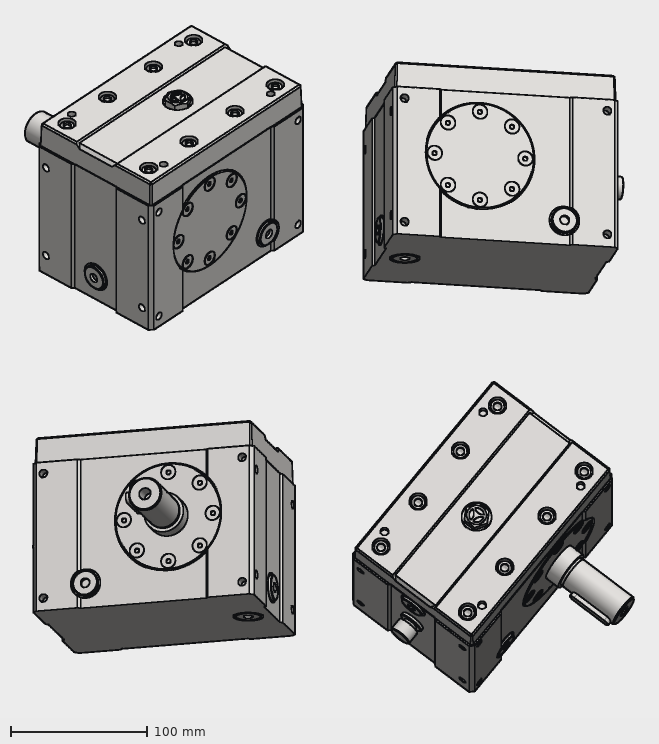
import cadquery as cq
import math

BLOCK_X = 113.8
BLOCK_Y = 168.5
BLOCK_Z = 113.5
BLOCK_CORNER = 3.0
RECESS_DEPTH = 1.8
END_STRIP_HALF = 20.5
SIDE_STRIP_HALF = 48.0
HALF_X = BLOCK_X / 2
HALF_Y = BLOCK_Y / 2

COVER_TOP = 133.3
COVER_INSET = 1.5
COVER_DRAFT = 2
COVER_CORNER = 1.5
COVER_EDGE = 1.3
CHANNEL_HALF = 20.0
CHANNEL_DEPTH = 1.3
CHANNEL_END_CHAMFER = 2.7

TAP_DIAMETER = 6.0
TAP_DEPTH = 9.1
DRILL_POINT_ANGLE = 118
TAP_Z_CENTRE = 57.2
END_TAP_X = 47.5
END_TAP_Z = 40.1
SIDE_TAP_Y = 75.8
SIDE_TAP_Z = 47.5

SCREW_X = 40.5
SCREW_YS = (25.0, 69.0)
SCREW_BORE = 13.0
SCREW_BORE_DEPTH = 6.4
SCREW_HEAD = 10.0
SCREW_HEAD_HEIGHT = 4.5
SCREW_SOCKET = 6.0
SCREW_SOCKET_DEPTH = 1.8
DOWEL_X = 45.5
DOWEL_Y = 58.3
DOWEL_DIAMETER = 6.0
DOWEL_DEPTH = 5.5

SPOTFACE = 22.0
SPOTFACE_DEPTH = 2.4
PLUG_DIAMETER = 19.0
PLUG_PROUD = 0.2
PLUG_CHAMFER = 0.5
PLUG_SOCKET = 7.0
PLUG_SOCKET_DEPTH = 2.7
SIDE_PLUG_Y = 44.0
SIDE_PLUG_Z = 18.6
FRONT_PLUG_Z = 20.6
REAR_PLUG_Z = 101.5
BOTTOM_PLUG_Y = -64.2

BREATHER_Y = 7.1
BREATHER_FLATS = 17.0
BREATHER_TOP = 135.8
BREATHER_RIM = 14.5
BREATHER_BEVEL_HEIGHT = 1.1
BREATHER_SEAT = 2.7
BREATHER_SOCKET = 11
BREATHER_SOCKET_DEPTH = 1.1
BREATHER_LOBE_RADIUS = 6.5
BREATHER_LOBE_OFFSET = 8.5

SHAFT_Y = -19.1
SHAFT_Z = 64.5
FLANGE_BORE = 82
FLANGE_DIAMETER = 80.0
FLANGE_INSET = 1.0
FLANGE_BORE_DEPTH = 5.5
FLANGE_SCREW_COUNT = 8
FLANGE_SCREW_RADIUS = 33.9
FLANGE_SCREW_HEAD = 11
FLANGE_SCREW_SINK = 0.5
FLANGE_SCREW_SOCKET = 3.3
FLANGE_SCREW_SOCKET_DEPTH = 1.8

SHAFT_REACH = 60.3
SHAFT_DIAMETER = 25.0
SHAFT_CHAMFER = 1.0
HUB_DIAMETER = 30.0
HUB_REACH = 10.5
RELIEF_DIAMETER = 24.6
RELIEF_WIDTH = 2.2
CENTRE_HOLE = 8.8
CENTRE_HOLE_DEPTH = 14.5
KEY_LENGTH = 36.1
KEY_WIDTH = 8.0
KEY_TOP = 15.5
KEY_END_GAP = 2.7

FITTING_COLLAR = 19.0
FITTING_COLLAR_REACH = 1.0
FITTING_COLLAR_CHAMFER = 0.5
FITTING_NECK = 11
FITTING_NECK_REACH = 3.6
FITTING_CAP = 17.0
FITTING_CAP_REACH = 13.7
FITTING_CAP_CHAMFER = 0.5

UP = (0, 0, 1)
WALL_NORMALS = {
    "left": (-1, 0, 0),
    "right": (1, 0, 0),
    "front": (0, -1, 0),
    "rear": (0, 1, 0),
    "bottom": (0, 0, -1),
}


def rod(start, direction, diameter, length):
    """Cylinder from a start point along a direction."""
    solid = cq.Solid.makeCylinder(diameter / 2, length, cq.Vector(*start), cq.Vector(*direction))
    return cq.Workplane(obj=solid)


def shifted(point, direction, distance):
    """Point moved along a direction."""
    return tuple(p + distance * d for p, d in zip(point, direction))


def reversed_direction(direction):
    return tuple(-d for d in direction)


def wall_recess(strip_half, wall):
    """Full-height trapezoid cut along a wall lying at +Y = wall."""
    mouth_half = strip_half + RECESS_DEPTH
    floor = wall - RECESS_DEPTH
    outline = [(-strip_half, floor), (strip_half, floor), (mouth_half, wall), (-mouth_half, wall)]
    return cq.Workplane("XY").polyline(outline).close().extrude(BLOCK_Z)


def make_block():
    block = cq.Workplane("XY").box(BLOCK_X, BLOCK_Y, BLOCK_Z, centered=(True, True, False))
    block = block.edges("|Z").chamfer(BLOCK_CORNER)
    end_recess = wall_recess(END_STRIP_HALF, HALF_Y)
    side_recess = wall_recess(SIDE_STRIP_HALF, HALF_X)
    for turn in (0, 180):
        block = block.cut(end_recess.rotate((0, 0, 0), (0, 0, 1), turn))
        block = block.cut(side_recess.rotate((0, 0, 0), (0, 0, 1), turn + 90))
    return block


def make_cover():
    length_x = BLOCK_X - 2 * COVER_INSET
    length_y = BLOCK_Y - 2 * COVER_INSET
    height = COVER_TOP - BLOCK_Z
    footprint = cq.Sketch().rect(length_x, length_y).vertices().chamfer(COVER_CORNER)
    cover = cq.Workplane("XY", origin=(0, 0, BLOCK_Z)).placeSketch(footprint)
    cover = cover.extrude(height, taper=COVER_DRAFT)
    cover = cover.faces(">Z").edges().chamfer(COVER_EDGE)

    deep = CHANNEL_DEPTH + CHANNEL_END_CHAMFER
    bottom_half = CHANNEL_HALF - deep
    bottom = COVER_TOP - deep
    outline = [
        (-bottom_half, bottom), (bottom_half, bottom),
        (CHANNEL_HALF, COVER_TOP), (-CHANNEL_HALF, COVER_TOP),
    ]
    channel = cq.Workplane("XZ").polyline(outline).close().extrude(HALF_Y, both=True)
    floor = COVER_TOP - CHANNEL_DEPTH
    end_y = length_y / 2 - height * math.tan(math.radians(COVER_DRAFT))
    floor_core = (
        cq.Workplane("XY", origin=(0, 0, floor - deep))
        .box(BLOCK_X, 2 * end_y, deep, centered=(True, True, False))
        .faces(">Z").edges("|X").chamfer(CHANNEL_END_CHAMFER)
    )
    return cover.cut(channel.cut(floor_core))


def drilled_hole(point, normal, diameter, depth):
    """Blind hole with a conical bottom, entering against the surface normal."""
    inward = reversed_direction(normal)
    radius = diameter / 2
    cone_height = radius / math.tan(math.radians(DRILL_POINT_ANGLE / 2))
    cone_base = cq.Vector(*shifted(point, inward, depth))
    cone = cq.Solid.makeCone(radius, 0, cone_height, cone_base, cq.Vector(*inward))
    return rod(point, inward, diameter, depth).union(cq.Workplane(obj=cone))


def cut_wall_holes(body):
    for side in (-1, 1):
        for across in (-1, 1):
            for up in (-1, 1):
                end_point = (across * END_TAP_X, side * HALF_Y, TAP_Z_CENTRE + up * END_TAP_Z)
                side_point = (side * HALF_X, across * SIDE_TAP_Y, TAP_Z_CENTRE + up * SIDE_TAP_Z)
                body = body.cut(drilled_hole(end_point, (0, side, 0), TAP_DIAMETER, TAP_DEPTH))
                body = body.cut(drilled_hole(side_point, (side, 0, 0), TAP_DIAMETER, TAP_DEPTH))
    return body


def fit_cover_screws(body):
    """Socket-head screws sunk in counterbores, and the dowel holes beside the corner ones."""
    points = [(sx * SCREW_X, sy * y) for sx in (-1, 1) for sy in (-1, 1) for y in SCREW_YS]
    seat = COVER_TOP - SCREW_BORE_DEPTH
    top = cq.Workplane("XY", origin=(0, 0, COVER_TOP))
    bores = top.pushPoints(points).circle(SCREW_BORE / 2).extrude(-SCREW_BORE_DEPTH)
    heads = (
        cq.Workplane("XY", origin=(0, 0, seat)).pushPoints(points)
        .circle(SCREW_HEAD / 2).extrude(SCREW_HEAD_HEIGHT)
    )
    body = body.cut(bores).union(heads)
    for x, y in points:
        head_top = (x, y, seat + SCREW_HEAD_HEIGHT)
        body = body.cut(drilled_hole(head_top, UP, SCREW_SOCKET, SCREW_SOCKET_DEPTH))
    dowels = (
        top.rect(2 * DOWEL_X, 2 * DOWEL_Y, forConstruction=True).vertices()
        .circle(DOWEL_DIAMETER / 2).extrude(-DOWEL_DEPTH)
    )
    return body.cut(dowels)


def fit_plug(body, point, wall):
    """Socket plug in a spotface, standing slightly proud of the wall at the given point."""
    normal = WALL_NORMALS[wall]
    inward = reversed_direction(normal)
    crown = shifted(point, normal, PLUG_PROUD)
    plug = rod(crown, inward, PLUG_DIAMETER, PLUG_PROUD + SPOTFACE_DEPTH).edges().chamfer(PLUG_CHAMFER)
    plug = plug.union(rod(shifted(point, inward, PLUG_CHAMFER), inward, PLUG_DIAMETER, SPOTFACE_DEPTH))
    plug = plug.cut(rod(crown, inward, PLUG_SOCKET, PLUG_SOCKET_DEPTH))
    return body.cut(rod(point, inward, SPOTFACE, SPOTFACE_DEPTH)).union(plug)


def fit_breather(body):
    floor = COVER_TOP - CHANNEL_DEPTH
    seat = floor - BREATHER_SEAT
    across_corners = BREATHER_FLATS / math.cos(math.radians(30))
    height = BREATHER_TOP - seat
    hexagon = cq.Workplane("XY", origin=(0, BREATHER_Y, seat)).polygon(6, across_corners).extrude(height)
    turned_blank = (
        cq.Workplane("XY", origin=(0, BREATHER_Y, seat)).circle(across_corners / 2).extrude(height)
        .faces(">Z").chamfer(BREATHER_BEVEL_HEIGHT, (across_corners - BREATHER_RIM) / 2)
    )
    lobes = (
        cq.Workplane("XY", origin=(0, BREATHER_Y, BREATHER_TOP))
        .polarArray(BREATHER_LOBE_OFFSET, 30, 360, 3)
        .circle(BREATHER_LOBE_RADIUS).extrude(-BREATHER_SOCKET_DEPTH, combine=True)
    )
    socket = rod((0, BREATHER_Y, BREATHER_TOP), (0, 0, -1), BREATHER_SOCKET, BREATHER_SOCKET_DEPTH)
    breather = hexagon.intersect(turned_blank).cut(socket.intersect(lobes))
    return body.cut(rod((0, BREATHER_Y, floor), (0, 0, -1), SPOTFACE, BREATHER_SEAT)).union(breather)


def fit_flange(body, wall):
    """Bearing flange set into a round bore, with a ring of sunk screws."""
    normal = WALL_NORMALS[wall]
    inward = reversed_direction(normal)
    mouth = (normal[0] * HALF_X, SHAFT_Y, SHAFT_Z)
    face = shifted(mouth, normal, -FLANGE_INSET)
    body = body.cut(rod(mouth, inward, FLANGE_BORE, FLANGE_BORE_DEPTH))
    flange = rod(face, inward, FLANGE_DIAMETER, FLANGE_BORE_DEPTH - FLANGE_INSET)
    for index in range(FLANGE_SCREW_COUNT):
        angle = 2 * math.pi * index / FLANGE_SCREW_COUNT
        screw = (
            face[0],
            SHAFT_Y + FLANGE_SCREW_RADIUS * math.cos(angle),
            SHAFT_Z + FLANGE_SCREW_RADIUS * math.sin(angle),
        )
        flange = flange.cut(rod(screw, inward, FLANGE_SCREW_HEAD, FLANGE_SCREW_SINK))
        flange = flange.cut(rod(screw, inward, FLANGE_SCREW_SOCKET, FLANGE_SCREW_SOCKET_DEPTH))
    return body.union(flange)


def make_output_shaft():
    tip_x = -HALF_X - SHAFT_REACH
    hub_x = -HALF_X - HUB_REACH
    root_x = -HALF_X + FLANGE_BORE_DEPTH
    relief_x = hub_x - RELIEF_WIDTH
    along = (1, 0, 0)
    shaft = rod((tip_x, SHAFT_Y, SHAFT_Z), along, SHAFT_DIAMETER, relief_x - tip_x)
    shaft = shaft.faces("<X").chamfer(SHAFT_CHAMFER)
    shaft = shaft.union(rod((relief_x, SHAFT_Y, SHAFT_Z), along, RELIEF_DIAMETER, RELIEF_WIDTH))
    shaft = shaft.union(rod((hub_x, SHAFT_Y, SHAFT_Z), along, HUB_DIAMETER, root_x - hub_x))
    key = (
        cq.Workplane("XZ", origin=(tip_x + KEY_END_GAP + KEY_LENGTH / 2, SHAFT_Y, SHAFT_Z))
        .slot2D(KEY_LENGTH, KEY_WIDTH).extrude(-KEY_TOP)
    )
    return shaft.union(key).cut(rod((tip_x, SHAFT_Y, SHAFT_Z), along, CENTRE_HOLE, CENTRE_HOLE_DEPTH))


def make_fitting():
    axis = (0, 1, 0)
    base = (0, HALF_Y - RECESS_DEPTH, SHAFT_Z)
    neck = (0, HALF_Y + FITTING_COLLAR_REACH, SHAFT_Z)
    cap = (0, HALF_Y + FITTING_NECK_REACH, SHAFT_Z)
    fitting = rod(base, axis, FITTING_COLLAR, RECESS_DEPTH + FITTING_COLLAR_REACH)
    fitting = fitting.faces(">Y").chamfer(FITTING_COLLAR_CHAMFER)
    fitting = fitting.union(rod(neck, axis, FITTING_NECK, FITTING_NECK_REACH - FITTING_COLLAR_REACH))
    head = rod(cap, axis, FITTING_CAP, FITTING_CAP_REACH - FITTING_NECK_REACH)
    return fitting.union(head.faces(">Y").chamfer(FITTING_CAP_CHAMFER))


result = make_block().union(make_cover())
result = cut_wall_holes(result)
result = fit_cover_screws(result)
result = fit_breather(result)
for wall_name in ("left", "right"):
    result = fit_flange(result, wall_name)
    wall_x = WALL_NORMALS[wall_name][0] * HALF_X
    result = fit_plug(result, (wall_x, SIDE_PLUG_Y, SIDE_PLUG_Z), wall_name)
result = fit_plug(result, (0, -HALF_Y, FRONT_PLUG_Z), "front")
result = fit_plug(result, (0, HALF_Y, REAR_PLUG_Z), "rear")
result = fit_plug(result, (0, BOTTOM_PLUG_Y, 0), "bottom")
result = result.union(make_output_shaft()).union(make_fitting())